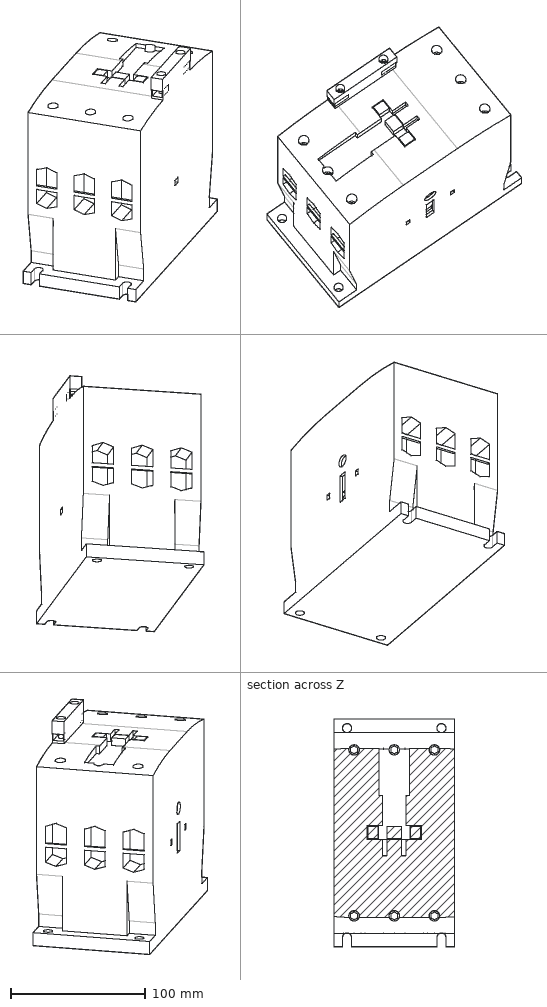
import cadquery as cq
import math

plate_width = 90.0
plate_length = 170.0
plate_thickness = 10.2
mount_diameter = 6.6
mount_x = 35.2
mount_y = 78.0

body_length = 150.0
wall_top = 136.5
crown_top = 141.5
crown_flat_length = 50.3

corner_width = 20.0
corner_depth = 6.5
corner_vertical_top = 19.9
corner_slope_top = 52.7

pole_pitch = 30.0
terminal_y = 61.9
terminal_hole_diameter = 7.6
terminal_screw_depth = 10.2
hex_across_flats = 5.1
hex_depth = 3.4

window_width = 16.2
window_bottom_tip = 60.0
window_bottom_shoulder = 62.7
window_top_shoulder = 90.6
window_top_tip = 93.5
window_depth = 20.4
window_bar_bottom = 74.3
window_bar_top = 77.2
window_bar_depth = 2.0

recess_floor = 135.5
recess_wide_half = 11.2
recess_wide_start = 27.9
recess_wide_end = 62.4
recess_neck_half = 8.7
cross_half_length = 20.2
cross_bottom = -4.8
cross_top = 5.5
indicator_bottom = -4.2
indicator_top = 4.8
indicator_center_half = 5.5
indicator_end_inner = 11.9
indicator_end_outer = 19.7
guide_slot_bottom = -17.0
guide_slot_floor = 136.5

module_width = 9.2
module_top = 158.8
module_length = 58.3
module_step_z = 148.5
module_step_depth = 0.8
coil_screw_y = 20.0
coil_hole_diameter = 6.6
coil_head_diameter = 6.0
coil_head_bottom = 146.5
coil_head_height = 5.1
coil_shank_diameter = 3.5
coil_cross_width = 1.4
coil_cross_depth = 1.7
coil_pocket_width = 7.8
coil_pocket_floor = 143.3
coil_pocket_inner_y = 15.3

side_depth = 2.0
side_slot_width = 7.1
side_slot_bottom = 55.0
side_slot_top = 77.9
side_window_width = 6.1
side_window_bottom = 59.8
side_window_top = 64.1
side_oval_width = 10.2
side_oval_height = 9.0
side_oval_z = 89.0
side_socket_width = 3.4
side_socket_y = 20.5
side_socket_bottom = 66.5
side_socket_top = 70.7

half_width = plate_width / 2
half_body = body_length / 2
ends = (-1, 1)
pole_positions = [pole * pole_pitch for pole in (-1, 0, 1)]


def block(x0, x1, y0, y1, z0, z1):
    """Box given by its limits along the three axes."""
    return cq.Workplane("XY").box(x1 - x0, y1 - y0, z1 - z0, centered=False).translate((x0, y0, z0))


def cylinder(diameter, x, y, z0, z1):
    """Upright cylinder between two heights."""
    return cq.Workplane("XY", origin=(x, y, z0)).circle(diameter / 2).extrude(z1 - z0)


def make_plate():
    plate = block(-half_width, half_width, -plate_length / 2, plate_length / 2, 0, plate_thickness)
    for side in ends:
        x = side * mount_x
        radius = mount_diameter / 2
        plate = plate.cut(cylinder(mount_diameter, x, mount_y, 0, plate_thickness))
        plate = plate.cut(cylinder(mount_diameter, x, -mount_y, 0, plate_thickness))
        plate = plate.cut(block(x - radius, x + radius, -plate_length / 2, -mount_y, 0, plate_thickness))
    return plate


def make_body():
    flat = crown_flat_length / 2
    run = half_body - flat
    drop = crown_top - wall_top
    radius = (run**2 + drop**2) / (2 * drop)
    half_angle = math.asin(run / radius) / 2
    mid_y = flat + radius * math.sin(half_angle)
    mid_z = crown_top - radius * (1 - math.cos(half_angle))
    body = (
        cq.Workplane("YZ", origin=(-half_width, 0, 0))
        .moveTo(-half_body, plate_thickness)
        .lineTo(half_body, plate_thickness)
        .lineTo(half_body, wall_top)
        .threePointArc((mid_y, mid_z), (flat, crown_top))
        .lineTo(-flat, crown_top)
        .threePointArc((-mid_y, mid_z), (-half_body, wall_top))
        .close()
        .extrude(plate_width)
    )
    return body.cut(make_corner_cuts())


def make_corner_cuts():
    corner = (
        cq.Workplane("YZ", origin=(half_width - corner_width, 0, 0))
        .moveTo(half_body, plate_thickness)
        .lineTo(half_body - corner_depth, plate_thickness)
        .lineTo(half_body - corner_depth, corner_vertical_top)
        .lineTo(half_body, corner_slope_top)
        .close()
        .extrude(corner_width)
    )
    pair = corner.union(corner.mirror("YZ"))
    return pair.union(pair.mirror("XZ"))


def cut_terminal_screws(body):
    head_z = wall_top - terminal_screw_depth
    hex_corners = hex_across_flats / math.cos(math.pi / 6)
    for x in pole_positions:
        for end in ends:
            y = end * terminal_y
            body = body.cut(cylinder(terminal_hole_diameter, x, y, head_z, crown_top))
            socket = (
                cq.Workplane("XY", origin=(x, y, head_z))
                .transformed(rotate=(0, 0, 90))
                .polygon(6, hex_corners)
                .extrude(-hex_depth)
            )
            body = body.cut(socket)
    return body


def cut_wire_windows(body):
    half = window_width / 2
    outline = [
        (0, window_bottom_tip),
        (half, window_bottom_shoulder),
        (half, window_top_shoulder),
        (0, window_top_tip),
        (-half, window_top_shoulder),
        (-half, window_bottom_shoulder),
    ]
    window = cq.Workplane("XZ", origin=(0, -half_body, 0)).polyline(outline).close().extrude(-window_depth)
    window = window.cut(
        block(-half, half, -half_body, window_bar_depth - half_body, window_bar_bottom, window_bar_top)
    )
    windows = window.union(window.mirror("XZ"))
    for x in pole_positions:
        body = body.cut(windows.translate((x, 0, 0)))
    return body


def cut_indicator(body):
    def above_floor(x0, x1, y0, y1):
        return block(x0, x1, y0, y1, recess_floor, crown_top)

    recess = above_floor(-recess_wide_half, recess_wide_half, recess_wide_start, recess_wide_end)
    recess = recess.union(above_floor(-recess_neck_half, recess_neck_half, cross_top, recess_wide_start))
    recess = recess.union(above_floor(-cross_half_length, cross_half_length, cross_bottom, cross_top))
    guide_slot = block(
        indicator_center_half, recess_neck_half, guide_slot_bottom, cross_bottom, guide_slot_floor, crown_top
    )
    end_block = above_floor(indicator_end_inner, indicator_end_outer, indicator_bottom, indicator_top)
    center_block = above_floor(
        -indicator_center_half, indicator_center_half, indicator_bottom, indicator_top
    )
    recess = recess.union(guide_slot).union(guide_slot.mirror("YZ"))
    recess = recess.cut(end_block).cut(end_block.mirror("YZ")).cut(center_block)
    return body.cut(recess)


def cut_side_sockets(body):
    def sunk(y, width, bottom, top, depth=side_depth):
        return block(-half_width, depth - half_width, y - width / 2, y + width / 2, bottom, top)

    body = body.cut(sunk(0, side_slot_width, side_slot_bottom, side_slot_top))
    body = body.cut(sunk(0, side_window_width, side_window_bottom, side_window_top, plate_width))
    for end in ends:
        body = body.cut(sunk(end * side_socket_y, side_socket_width, side_socket_bottom, side_socket_top))
    oval = (
        cq.Workplane("YZ", origin=(-half_width, 0, side_oval_z))
        .ellipse(side_oval_width / 2, side_oval_height / 2)
        .extrude(side_depth)
    )
    return body.cut(oval)


def make_coil_module():
    x0 = half_width - module_width
    x = half_width - module_width / 2
    half = module_length / 2
    foot_half = half - module_step_depth
    module = block(x0, half_width, -half, half, module_step_z, module_top)
    module = module.union(block(x0, half_width, -foot_half, foot_half, wall_top, module_step_z))
    pocket_half = coil_pocket_width / 2
    pocket = block(
        x - pocket_half, x + pocket_half, coil_pocket_inner_y, foot_half, coil_pocket_floor, module_step_z
    )
    module = module.cut(pocket).cut(pocket.mirror("XZ"))
    for end in ends:
        y = end * coil_screw_y
        module = module.cut(cylinder(coil_hole_diameter, x, y, module_step_z, module_top))
        module = module.union(make_coil_screw(x, y))
    return module


def make_coil_screw(x, y):
    head_top = coil_head_bottom + coil_head_height
    shank = cylinder(coil_shank_diameter, x, y, coil_pocket_floor, coil_head_bottom)
    head = cylinder(coil_head_diameter, x, y, coil_head_bottom, head_top)
    long_half = coil_head_diameter / 2
    short_half = coil_cross_width / 2
    cross_floor = head_top - coil_cross_depth
    for dx, dy in ((long_half, short_half), (short_half, long_half)):
        head = head.cut(block(x - dx, x + dx, y - dy, y + dy, cross_floor, head_top))
    return head.union(shank)


body = make_body()
body = cut_terminal_screws(body)
body = cut_wire_windows(body)
body = cut_indicator(body)
body = cut_side_sockets(body)
result = make_plate().union(body).union(make_coil_module())